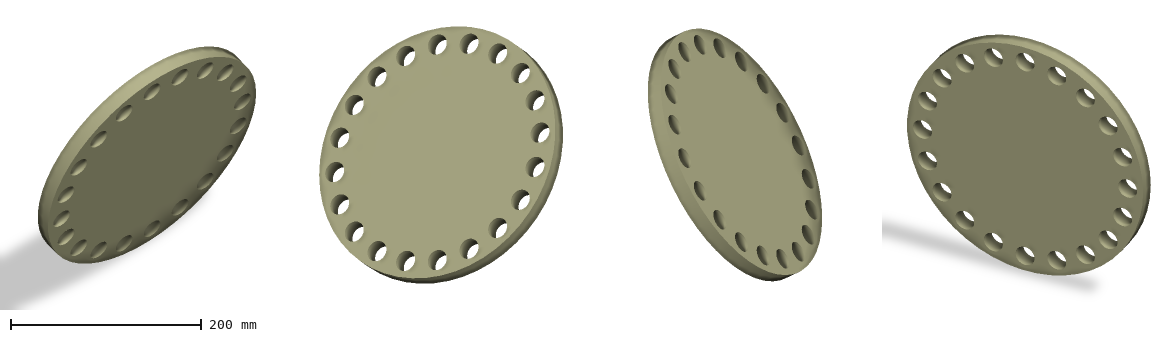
import cadquery as cq

outer_diameter = 279.5
thickness = 17.3
hole_count = 20
hole_diameter = 22.4
hole_circle_diameter = 242.8

disc = cq.Workplane("YZ").circle(outer_diameter / 2).extrude(thickness)

bolt_holes = (
    cq.Workplane("YZ")
    .polarArray(hole_circle_diameter / 2, 0, 360, hole_count)
    .circle(hole_diameter / 2)
    .extrude(thickness)
)

result = disc.cut(bolt_holes)